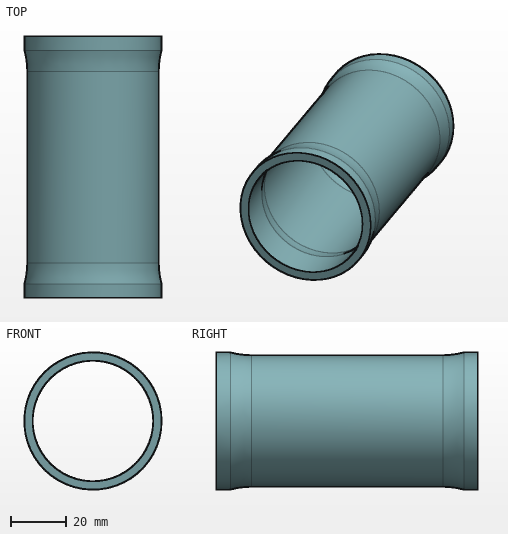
import cadquery as cq

length = 95.0
collar_radius = 25.0
body_radius = 23.9

collar_length = 5.0
flare_length = 7.7

mouth_radius = 21.85
bore_radius = 22.9
mouth_length = 15.0
inner_flare_length = 6.2

half_length = length / 2
collar_start = half_length - collar_length
flare_start = collar_start - flare_length
mouth_start = half_length - mouth_length
inner_flare_start = mouth_start - inner_flare_length


def flare_middle(start_y, start_radius, end_y, end_radius):
    """Radius and Y halfway along an arc that leaves its start point parallel to Y."""
    run = end_y - start_y
    rise = end_radius - start_radius
    arc_radius = (run**2 + rise**2) / (2 * abs(rise))
    half_run = run / 2
    offset = arc_radius - (arc_radius**2 - half_run**2) ** 0.5
    direction = 1 if rise > 0 else -1
    return start_radius + direction * offset, start_y + half_run


outer_x, outer_y = flare_middle(flare_start, body_radius, collar_start, collar_radius)
inner_x, inner_y = flare_middle(inner_flare_start, bore_radius, mouth_start, mouth_radius)

wall = (
    cq.Workplane("XY")
    .moveTo(mouth_radius, -half_length)
    .lineTo(collar_radius, -half_length)
    .lineTo(collar_radius, -collar_start)
    .threePointArc((outer_x, -outer_y), (body_radius, -flare_start))
    .lineTo(body_radius, flare_start)
    .threePointArc((outer_x, outer_y), (collar_radius, collar_start))
    .lineTo(collar_radius, half_length)
    .lineTo(mouth_radius, half_length)
    .lineTo(mouth_radius, mouth_start)
    .threePointArc((inner_x, inner_y), (bore_radius, inner_flare_start))
    .lineTo(bore_radius, -inner_flare_start)
    .threePointArc((inner_x, -inner_y), (mouth_radius, -mouth_start))
    .close()
)

result = wall.revolve(360, (0, 0, 0), (0, 1, 0))